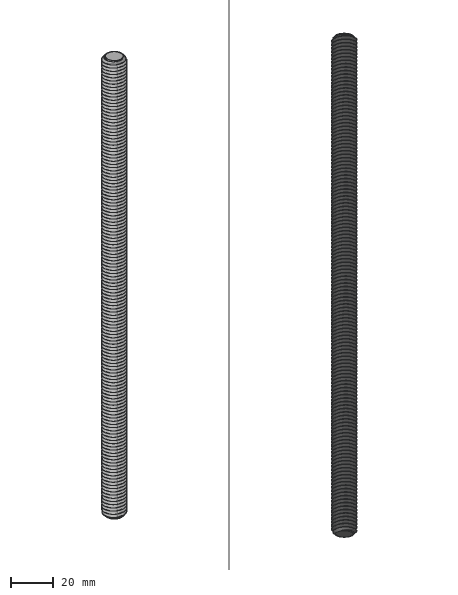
import cadquery as cq
import math

ROD_LENGTH = 250.0
MAJOR_DIAMETER = 12.0
PITCH = 1.75
THREAD_ANGLE = 60.0
CREST_ANGLE_AT_TOP = 270.0

THREAD_DEPTH = PITCH / 2 / math.tan(math.radians(THREAD_ANGLE / 2))
MAJOR_RADIUS = MAJOR_DIAMETER / 2
MINOR_RADIUS = MAJOR_RADIUS - THREAD_DEPTH

END_CHAMFER = PITCH
END_FACE_RADIUS = MAJOR_RADIUS - END_CHAMFER

OVERRUN_TURNS = 2
TURNS = math.ceil(ROD_LENGTH / PITCH) + 2 * OVERRUN_TURNS

ENVELOPE_CLEARANCE = 0.5


def rising_turn(radius, height):
    """Edge of one right-handed helix turn that starts in the XZ plane."""
    wire = cq.Wire.makeHelix(PITCH, PITCH, radius, center=cq.Vector(0, 0, height))
    return wire.Edges()[0]


def flanks():
    """Both flank faces of one turn of the V groove."""
    lower_crest = rising_turn(MAJOR_RADIUS, 0)
    root = rising_turn(MINOR_RADIUS, PITCH / 2)
    upper_crest = rising_turn(MAJOR_RADIUS, PITCH)
    return [
        cq.Face.makeRuledSurface(lower_crest, root),
        cq.Face.makeRuledSurface(root, upper_crest),
    ]


def thread_end(height):
    """Faces closing the thread: a helicoid out to the crest and its radial step."""
    axis = cq.Edge.makeLine(cq.Vector(0, 0, height), cq.Vector(0, 0, height + PITCH))
    helicoid = cq.Face.makeRuledSurface(axis, rising_turn(MAJOR_RADIUS, height))
    step_corners = [
        cq.Vector(0, 0, height),
        cq.Vector(MAJOR_RADIUS, 0, height),
        cq.Vector(MINOR_RADIUS, 0, height + PITCH / 2),
        cq.Vector(MAJOR_RADIUS, 0, height + PITCH),
        cq.Vector(0, 0, height + PITCH),
    ]
    step = cq.Face.makeFromWires(cq.Wire.makePolygon(step_corners, close=True))
    return [helicoid, step]


def raw_thread():
    """Threaded bar, longer than the rod, turned to the rod's thread start."""
    faces = thread_end(0) + thread_end(TURNS * PITCH)
    turn_flanks = flanks()
    for index in range(TURNS):
        lift = cq.Vector(0, 0, index * PITCH)
        faces += [flank.translate(lift) for flank in turn_flanks]
    bar = cq.Solid.makeSolid(cq.Shell.makeShell(faces))
    crest_turns = CREST_ANGLE_AT_TOP / 360
    turns_to_top = TURNS - OVERRUN_TURNS + crest_turns
    return bar.translate(cq.Vector(0, 0, ROD_LENGTH - turns_to_top * PITCH))


def envelope():
    """Chamfered cylinder that trims the thread to the rod's length and ends."""
    radius = MAJOR_RADIUS + ENVELOPE_CLEARANCE
    chamfer_height = END_CHAMFER + ENVELOPE_CLEARANCE
    profile = [
        (0, 0),
        (END_FACE_RADIUS, 0),
        (radius, chamfer_height),
        (radius, ROD_LENGTH - chamfer_height),
        (END_FACE_RADIUS, ROD_LENGTH),
        (0, ROD_LENGTH),
    ]
    return cq.Workplane("XZ").polyline(profile).close().revolve(360, (0, 0), (0, 1))


result = cq.Workplane(raw_thread()).intersect(envelope()).solids()